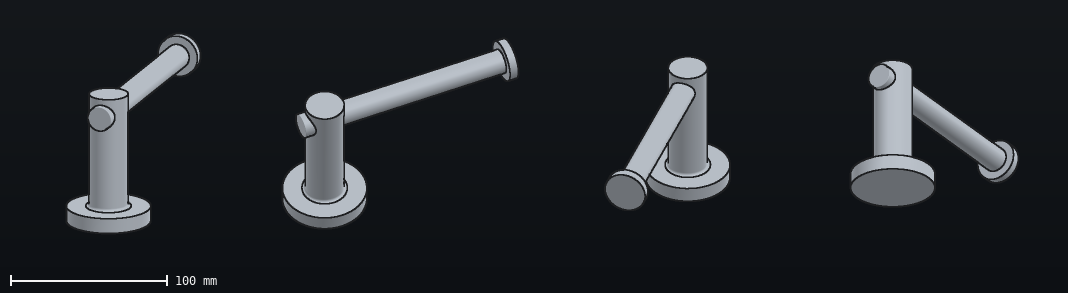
import cadquery as cq

BASE_DIAMETER = 54.0
BASE_THICKNESS = 10.0

POST_DIAMETER = 25.0
POST_TOP_Z = 85.0
FOOT_FLARE_RADIUS = 2.0

BAR_DIAMETER = 16.0
BAR_AXIS_Z = 73.0
BAR_LENGTH = 140.5
BAR_FRONT_Y = -16.7
BAR_END_ROUNDING = 0.3
BAR_BACK_Y = BAR_FRONT_Y + BAR_LENGTH

CAP_DIAMETER = 27.0
CAP_THICKNESS = 6.0


def cylinder_along_y(diameter, front_y, length):
    """Cylinder on the bar axis that runs from front_y toward +Y."""
    plane = cq.Plane(origin=(0, front_y, BAR_AXIS_Z), xDir=(1, 0, 0), normal=(0, 1, 0))
    return cq.Workplane(plane).circle(diameter / 2).extrude(length)


def make_base():
    return cq.Workplane("XY").circle(BASE_DIAMETER / 2).extrude(BASE_THICKNESS)


def make_bar():
    bar = cylinder_along_y(BAR_DIAMETER, BAR_FRONT_Y, BAR_LENGTH)
    return bar.faces("<Y or >Y").edges().fillet(BAR_END_ROUNDING)


def make_post(bar):
    """Post revolved about Z, with a cross hole that fits the bar."""
    post_radius = POST_DIAMETER / 2
    foot_radius = post_radius + FOOT_FLARE_RADIUS
    flare_top_z = BASE_THICKNESS + FOOT_FLARE_RADIUS
    post = (
        cq.Workplane("XZ")
        .moveTo(0, BASE_THICKNESS)
        .lineTo(foot_radius, BASE_THICKNESS)
        .radiusArc((post_radius, flare_top_z), FOOT_FLARE_RADIUS)
        .lineTo(post_radius, POST_TOP_Z)
        .lineTo(0, POST_TOP_Z)
        .close()
        .revolve(360, (0, 0, 0), (0, 1, 0))
    )
    return post.cut(bar)


def make_end_cap():
    return cylinder_along_y(CAP_DIAMETER, BAR_BACK_Y, CAP_THICKNESS)


base = make_base()
bar = make_bar()
post = make_post(bar)
end_cap = make_end_cap()

result = cq.Compound.makeCompound([base.val(), post.solids().val(), bar.solids().val(), end_cap.val()])